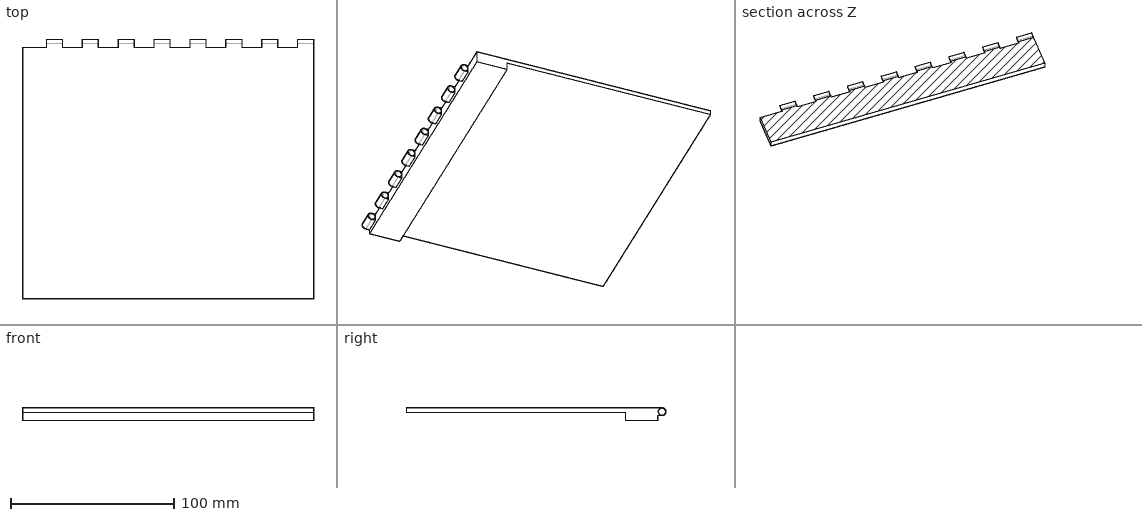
import cadquery as cq

width = 178.5
depth = 159.2
height = 8.0
plate_thickness = 3.0
block_depth = 20.0
knuckle_diameter = 5.0
pin_hole_diameter = 4.3
knuckle_width = 10.0
first_knuckle_x = 14.5
knuckle_count = 8

knuckle_radius = knuckle_diameter / 2
hinge_edge_y = depth - knuckle_diameter
pin_y = depth - knuckle_radius
pin_z = height - knuckle_radius
knuckle_pitch = (width - knuckle_width - first_knuckle_x) / (knuckle_count - 1)
plate_bottom_z = height - plate_thickness


def make_leaf():
    """Flat plate with a thickened strip below its hinge edge."""
    profile = [
        (0, plate_bottom_z),
        (hinge_edge_y - block_depth, plate_bottom_z),
        (hinge_edge_y - block_depth, 0),
        (hinge_edge_y, 0),
        (hinge_edge_y, height),
        (0, height),
    ]
    return cq.Workplane("YZ").polyline(profile).close().extrude(width)


def make_knuckle(start_x):
    """Round-nosed knuckle whose flat top and bottom run back to the hinge edge."""
    return (
        cq.Workplane("YZ", origin=(start_x, 0, 0))
        .moveTo(hinge_edge_y, height)
        .lineTo(pin_y, height)
        .threePointArc((depth, pin_z), (pin_y, height - knuckle_diameter))
        .lineTo(hinge_edge_y, height - knuckle_diameter)
        .close()
        .extrude(knuckle_width)
    )


def make_pin_hole():
    """Pin bore running along X through every knuckle."""
    return (
        cq.Workplane("YZ")
        .center(pin_y, pin_z)
        .circle(pin_hole_diameter / 2)
        .extrude(width)
    )


result = make_leaf()

for index in range(knuckle_count):
    result = result.union(make_knuckle(first_knuckle_x + index * knuckle_pitch))

result = result.cut(make_pin_hole())